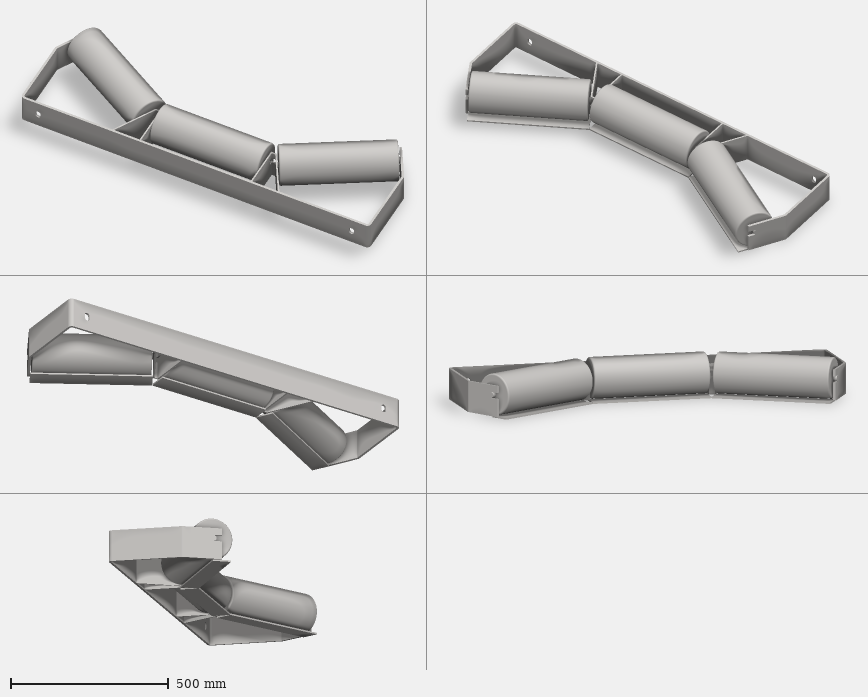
import cadquery as cq
import math


overall_height = 139.5
trough_angle = 30.0
roller_diameter = 133.0
roller_length = 380.0
roller_rim_radius = 5.0
axle_diameter = 20.0
end_gap = 5.0
centre_roller_y = 125.0

strip_thickness = 5.0
strip_width = 60.0
strip_overhang = 4.5

frame_width = 1240.0
frame_height = 100.0
frame_thickness = 8.0
frame_bend_radius = 14.0
wing_bend_y = 244.28
wing_length = 129.5
slot_from_wing_end = 27.5
mount_hole_x = 557.0
mount_hole_width = 18.0
mount_hole_height = 26.0

bracket_thickness = 5.0
bracket_top_y = 150.0

roller_axis_z = overall_height - roller_diameter / 2
frame_z = strip_thickness
half_width = frame_width / 2
half_roller = roller_length / 2
angle = math.radians(trough_angle)
wing_dir = (-math.sin(angle), math.cos(angle))
axis_dir = (-math.cos(angle), -math.sin(angle))


def shifted(point, direction, distance):
    """Move a plan point along a direction."""
    return (point[0] + direction[0] * distance, point[1] + direction[1] * distance)


def mirrored(points):
    """Reflect plan points to the -X side, in reverse order."""
    return [(-x, y) for x, y in reversed(points)]


wing_corner = (half_width, wing_bend_y)
wing_tip = shifted(wing_corner, wing_dir, wing_length)
axle_end = shifted(wing_tip, wing_dir, -slot_from_wing_end)
wing_roller_centre = shifted(axle_end, axis_dir, frame_thickness + end_gap + half_roller)
centre_roller_centre = (0.0, centre_roller_y)

roller_places = [
    (centre_roller_centre, 0.0),
    (wing_roller_centre, trough_angle),
    ((-wing_roller_centre[0], wing_roller_centre[1]), -trough_angle),
]


def placed(body, centre, rotation):
    """Turn a body built along X about Z and move it to a roller place."""
    return body.rotate((0, 0, 0), (0, 0, 1), rotation).translate((centre[0], centre[1], 0))


def make_slot():
    """Cutter for an axle slot: runs through along X and opens towards +Y from a round bottom."""
    through = 3 * frame_thickness
    open_length = 2 * slot_from_wing_end
    bottom = cq.Workplane("YZ").circle(axle_diameter / 2).extrude(through / 2, both=True)
    opening = cq.Workplane("XY").box(
        through, open_length, axle_diameter, centered=(True, False, True)
    )
    return bottom.union(opening).translate((0, 0, roller_axis_z))


def make_frame():
    """Bent flat bar: back wall, two sides and two inclined wings with axle slots."""
    inner_corner_y = wing_bend_y - frame_thickness * math.tan(angle / 2)
    inner_corner = (half_width - frame_thickness, inner_corner_y)
    inner_tip = shifted(wing_tip, axis_dir, frame_thickness)
    outside = [(half_width, 0.0), wing_corner, wing_tip]
    inside = [inner_tip, inner_corner, (half_width - frame_thickness, frame_thickness)]
    outline = outside + inside + mirrored(inside) + mirrored(outside)
    frame = (
        cq.Workplane("XY").workplane(offset=frame_z)
        .polyline(outline).close().extrude(frame_height)
    )

    outer_bends = [outside[0], wing_corner]
    inner_bends = [inner_corner, inside[2]]
    mid_z = frame_z + frame_height / 2
    for bends, radius in (
        (outer_bends, frame_bend_radius),
        (inner_bends, frame_bend_radius - frame_thickness),
    ):
        for x, y in bends + mirrored(bends):
            bend_edge = cq.selectors.NearestToPointSelector((x, y, mid_z))
            frame = frame.edges("|Z").edges(bend_edge).fillet(radius)

    slot = make_slot()
    for side in (1, -1):
        frame = frame.cut(placed(slot, (side * axle_end[0], axle_end[1]), side * trough_angle))

    holes = (
        cq.Workplane("XZ")
        .pushPoints([(x, mid_z) for x in (-mount_hole_x, mount_hole_x)])
        .slot2D(mount_hole_height, mount_hole_width, 90)
        .extrude(-frame_thickness)
    )
    return frame.cut(holes)


def make_bracket():
    """Bracket on the +X side: upright leg, flat top and inclined leg, open at the back wall."""
    upright_x = half_roller + end_gap
    foot_y = frame_thickness
    near = shifted(wing_roller_centre, axis_dir, half_roller + end_gap)
    far = shifted(near, axis_dir, bracket_thickness)

    def leg_x(point, y):
        return point[0] + (point[1] - y) * math.tan(angle)

    under_top_y = bracket_top_y - bracket_thickness
    outline = [
        (upright_x, foot_y),
        (upright_x, bracket_top_y),
        (leg_x(near, bracket_top_y), bracket_top_y),
        (leg_x(near, foot_y), foot_y),
        (leg_x(far, foot_y), foot_y),
        (leg_x(far, under_top_y), under_top_y),
        (upright_x + bracket_thickness, under_top_y),
        (upright_x + bracket_thickness, foot_y),
    ]
    bracket = (
        cq.Workplane("XY").workplane(offset=frame_z)
        .polyline(outline).close().extrude(frame_height)
    )
    slot = make_slot()
    bracket = bracket.cut(slot.translate((upright_x, centre_roller_y, 0)))
    return bracket.cut(placed(slot, near, trough_angle))


def make_roller(left_support, right_support):
    """Roller along X with rounded rims; its axle ends run through the supports."""
    shell = (
        cq.Workplane("YZ").workplane(offset=-half_roller)
        .circle(roller_diameter / 2).extrude(roller_length)
        .faces("<X or >X").fillet(roller_rim_radius)
    )
    left_end = half_roller + end_gap + left_support
    right_end = half_roller + end_gap + right_support
    axle = (
        cq.Workplane("YZ").workplane(offset=-left_end)
        .circle(axle_diameter / 2).extrude(left_end + right_end)
    )
    return shell.union(axle).translate((0, 0, roller_axis_z))


def make_strip():
    """Flat strip below a roller, reaching from its axis towards +Y."""
    length = roller_length + 2 * strip_overhang
    return cq.Workplane("XY").box(
        length, strip_width, strip_thickness, centered=(True, False, False)
    )


frame = make_frame()

right_bracket = make_bracket()
brackets = [right_bracket, right_bracket.mirror("YZ")]

roller_supports = [
    (bracket_thickness, bracket_thickness),
    (bracket_thickness, frame_thickness),
    (frame_thickness, bracket_thickness),
]
rollers = [
    placed(make_roller(*supports), *place)
    for place, supports in zip(roller_places, roller_supports)
]
strips = [placed(make_strip(), *place) for place in roller_places]

bodies = [frame] + brackets + rollers + strips
result = cq.Compound.makeCompound([body.solids().val() for body in bodies])